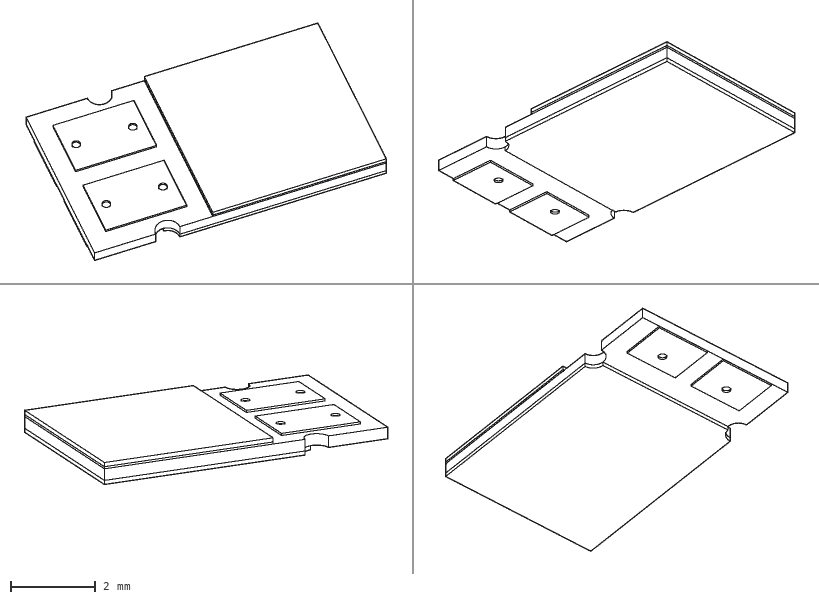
import cadquery as cq

width = 4.4
length = 7.4

stiffener_thickness = 0.1
board_thickness = 0.29
adhesive_thickness = 0.05
cover_thickness = 0.1
pad_thickness = 0.05

board_bottom = stiffener_thickness
board_top = board_bottom + board_thickness
cover_bottom = board_top + adhesive_thickness

cover_start = length - width
stiffener_start = 1.87

notch_radius = 0.3
notch_y = 1.86

pad_width = 1.46
pad_offset = 0.97
top_pad_start = 0.48
top_pad_length = 2.06
bottom_pad_length = 1.205

hole_radius = 0.1
front_hole_y = 0.785
rear_hole_y = 2.22

pad_centers = [-pad_offset, pad_offset]


def slab(center_x, slab_width, start_y, slab_length, bottom, thickness):
    """Rectangular plate centred on center_x, running from start_y toward +Y."""
    return (
        cq.Workplane("XY", origin=(center_x, start_y + slab_length / 2, bottom))
        .rect(slab_width, slab_length)
        .extrude(thickness)
    )


def full_height_cylinders(points, radius):
    """Cutting cylinders that span the whole stack of layers."""
    return cq.Workplane("XY").pushPoints(points).circle(radius).extrude(cover_bottom + cover_thickness)


notches = full_height_cylinders([(-width / 2, notch_y), (width / 2, notch_y)], notch_radius)
holes = full_height_cylinders(
    [(x, y) for x in pad_centers for y in (front_hole_y, rear_hole_y)], hole_radius
)


def make_stiffener():
    plate = slab(0, width, stiffener_start, length - stiffener_start, 0, stiffener_thickness)
    return plate.cut(notches)


def make_board():
    return slab(0, width, 0, length, board_bottom, board_thickness).cut(notches).cut(holes)


def make_adhesive():
    return slab(0, width, cover_start, length - cover_start, board_top, adhesive_thickness)


def make_cover():
    return slab(0, width, cover_start, length - cover_start, cover_bottom, cover_thickness)


def make_top_pad(center_x):
    return slab(center_x, pad_width, top_pad_start, top_pad_length, board_top, pad_thickness).cut(holes)


def make_bottom_pad(center_x):
    pad_bottom = board_bottom - pad_thickness
    return slab(center_x, pad_width, 0, bottom_pad_length, pad_bottom, pad_thickness).cut(holes)


stiffener = make_stiffener()
board = make_board()
adhesive = make_adhesive()
cover = make_cover()

pads = []
for pad_x in pad_centers:
    pads.append(make_top_pad(pad_x).val())
    pads.append(make_bottom_pad(pad_x).val())

result = cq.Compound.makeCompound(
    [
        stiffener.val(),
        board.val(),
        adhesive.val(),
        cover.val(),
        *pads,
    ]
)